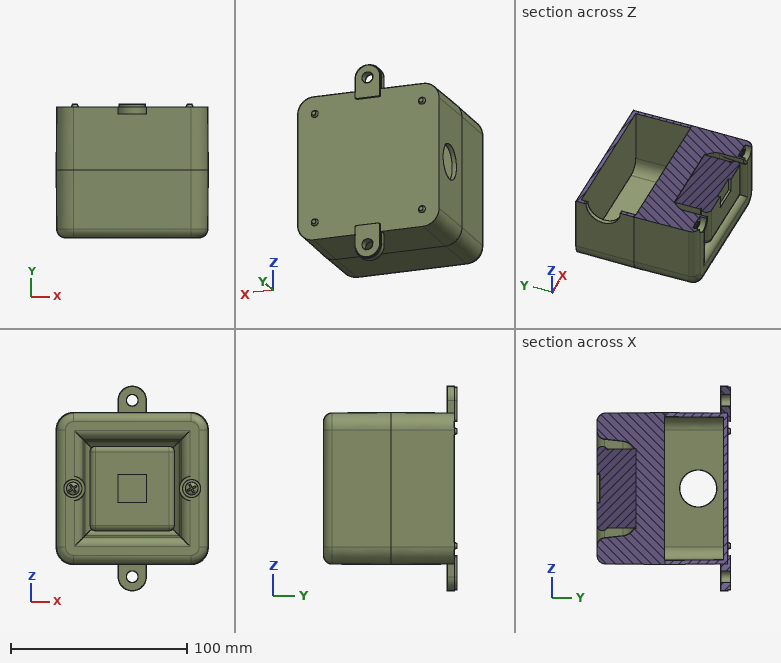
import cadquery as cq
import math


SIDE = 86.5
CORNER_R = 10.0
DRAFT = 0.5
BASE_DEPTH = 35.9
COVER_DEPTH = 38.5
FRONT_Y = -COVER_DEPTH
FRONT_EDGE_R = 5.0
BASE_WALL = 2.5

ENTRY_D = 20.9
ENTRY_Y = 19.1

STANDOFF = 1.5
FOOT_OFFSET = 32.5
FOOT_ROOT_R = 2.1
FOOT_TIP_R = 1.3

RECESS_HALF = 32.9
RECESS_LIP_R = 5.0
WALL_DEPTH = 10.5
WALL_INSET = 1.2
WALL_LEAN = math.atan2(WALL_INSET, WALL_DEPTH)
FLOOR_R = 8.0
FLOOR_DEPTH = (RECESS_LIP_R + FLOOR_R) * (1 - math.sin(WALL_LEAN)) + WALL_DEPTH

SCREW_X = 33.7
BOSS_R = 7.0
SCREW_HOLE_R = 5.1
SCREW_SEAT_DEPTH = 4.0
HEAD_R = 3.6
HEAD_RIM = 0.5
HEAD_DOME = 1.3
CROSS_LENGTH = 5.1
CROSS_WIDTH = 0.9
CROSS_DEPTH = 1.2
LEFT_CROSS_ANGLE = 35.0
RIGHT_CROSS_ANGLE = 27.0

PLATE_SIDE = 48.0
PLATE_EDGE_R = 3.1
PLATE_THICK = 2 * PLATE_EDGE_R
PLATE_POCKET_SIDE = 16.0
PLATE_POCKET_DEPTH = 1.5
HUB_R = 22.5

OVERALL_HEIGHT = 116.2
LUG_WIDTH = 16.0
LUG_THICK = 4.2
LUG_HOLE_D = 6.5
LUG_HOLE_Z = OVERALL_HEIGHT / 2 - LUG_WIDTH / 2
PAD_INSET = 0.52
PAD_INNER_Z = 38.1
PAD_CORNER_R = 0.9


def front_plane(y):
    """Workplane at the given Y that faces -Y, with local x = X and local y = Z."""
    return cq.Workplane("XZ", origin=(0, y, 0))


def back_plane(y):
    """Workplane at the given Y that faces +Y, with local x = Z and local y = X."""
    return cq.Workplane("ZX", origin=(0, y, 0))


def drafted_block(plane, side, corner_r, depth):
    """Square block with rounded corners that narrows along its depth."""
    outline = plane.sketch().rect(side, side).vertices().fillet(corner_r).finalize()
    return outline.extrude(depth, taper=DRAFT)


def make_feet():
    spots = [(z, x) for z in (-FOOT_OFFSET, FOOT_OFFSET) for x in (-FOOT_OFFSET, FOOT_OFFSET)]
    lean = math.degrees(math.atan((FOOT_ROOT_R - FOOT_TIP_R) / STANDOFF))
    return back_plane(BASE_DEPTH).pushPoints(spots).circle(FOOT_ROOT_R).extrude(STANDOFF, taper=lean)


def make_cable_entry():
    plane = cq.Workplane("YZ", origin=(-SIDE / 2, 0, 0)).center(ENTRY_Y, 0)
    return plane.circle(ENTRY_D / 2).extrude(SIDE / 2)


def make_base():
    """Drafted box that is open towards the cover, with a back wall and four feet."""
    block = drafted_block(back_plane(0), SIDE, CORNER_R, BASE_DEPTH)
    cavity_side = SIDE - 2 * BASE_WALL
    cavity = drafted_block(back_plane(0), cavity_side, CORNER_R - BASE_WALL, BASE_DEPTH - BASE_WALL)
    return block.cut(cavity).cut(make_cable_entry()).union(make_feet())


def make_hub():
    """Round hub from the back of the plate to the recess floor."""
    return back_plane(FRONT_Y + PLATE_THICK).circle(HUB_R).extrude(FLOOR_DEPTH - PLATE_THICK)


def arc_point(center, radius, angle):
    return (center[0] + radius * math.cos(angle), center[1] + radius * math.sin(angle))


def recess_profile(plane):
    """Cross-section of the recess: lip arc, leaning wall and floor arc, tangent to each other."""
    floor_y = FRONT_Y + FLOOR_DEPTH
    lip_center = (RECESS_HALF, FRONT_Y + RECESS_LIP_R)
    lip_end = arc_point(lip_center, -RECESS_LIP_R, WALL_LEAN)
    floor_start = (lip_end[0] - WALL_INSET, lip_end[1] + WALL_DEPTH)
    floor_center = (floor_start[0] - FLOOR_R * math.cos(WALL_LEAN), floor_y - FLOOR_R)
    half_arc = (WALL_LEAN + math.pi / 2) / 2
    return (
        plane.moveTo(0, FRONT_Y)
        .lineTo(RECESS_HALF, FRONT_Y)
        .threePointArc(arc_point(lip_center, -RECESS_LIP_R, half_arc), lip_end)
        .lineTo(*floor_start)
        .threePointArc(arc_point(floor_center, FLOOR_R, half_arc), (floor_center[0], floor_y))
        .lineTo(0, floor_y)
        .mirrorY()
    )


def make_recess():
    """Square recess with mitred corners: the same section run along X and along Z."""
    along_z = recess_profile(cq.Workplane("XY")).extrude(RECESS_HALF, both=True)
    along_x = along_z.rotate((0, 0, 0), (0, 1, 0), 90)
    return along_z.intersect(along_x)


def make_cover():
    screw_spots = [(-SCREW_X, 0), (SCREW_X, 0)]
    floor = front_plane(FRONT_Y + FLOOR_DEPTH)
    bosses = floor.pushPoints(screw_spots).circle(BOSS_R).extrude(FLOOR_DEPTH)
    seat = front_plane(FRONT_Y + SCREW_SEAT_DEPTH)
    screw_holes = seat.pushPoints(screw_spots).circle(SCREW_HOLE_R).extrude(SCREW_SEAT_DEPTH)
    block = drafted_block(front_plane(0), SIDE, CORNER_R, COVER_DEPTH)
    block = block.faces("<Y").edges().fillet(FRONT_EDGE_R)
    block = block.cut(make_recess().cut(bosses)).cut(screw_holes)
    return block.cut(make_hub())


def make_screw(x, cross_angle):
    """Domed screw head with a cross slot, seated in its hole in the cover."""
    dome_height = HEAD_RIM + HEAD_DOME
    sphere_r = (HEAD_R**2 + HEAD_DOME**2) / (2 * HEAD_DOME)
    half_way = HEAD_R / 2
    arc_mid = (half_way, dome_height - sphere_r + math.sqrt(sphere_r**2 - half_way**2))
    head = (
        cq.Workplane("XY")
        .lineTo(HEAD_R, 0)
        .lineTo(HEAD_R, HEAD_RIM)
        .threePointArc(arc_mid, (0, dome_height))
        .close()
        .revolve(360, (0, 0, 0), (0, 1, 0))
    )
    dome_top = cq.Workplane("XZ", origin=(0, dome_height, 0))
    cross = dome_top.rect(CROSS_LENGTH, CROSS_WIDTH).extrude(CROSS_DEPTH)
    cross = cross.union(dome_top.rect(CROSS_WIDTH, CROSS_LENGTH).extrude(CROSS_DEPTH))
    head = head.cut(cross).rotate((0, 0, 0), (0, 1, 0), cross_angle)
    return head.rotate((0, 0, 0), (0, 0, 1), 180).translate((x, FRONT_Y + SCREW_SEAT_DEPTH, 0))


def make_rounded_plate():
    """Square plate whose rim is a half-round bar on each side with a ball at each corner."""
    flat_side = PLATE_SIDE - 2 * PLATE_EDGE_R
    rim_y = FRONT_Y + PLATE_EDGE_R
    plate = front_plane(FRONT_Y + PLATE_THICK).rect(flat_side, flat_side).extrude(PLATE_THICK)
    bar = cq.Workplane("YZ", origin=(-flat_side / 2, rim_y, flat_side / 2))
    bar = bar.circle(PLATE_EDGE_R).extrude(flat_side)
    ball = cq.Workplane("XY", origin=(flat_side / 2, rim_y, flat_side / 2))
    ball = ball.sphere(PLATE_EDGE_R, direct=(0, 1, 0))
    for turn in (0, 90, 180, 270):
        plate = plate.union(bar.rotate((0, 0, 0), (0, 1, 0), turn))
        plate = plate.union(ball.rotate((0, 0, 0), (0, 1, 0), turn))
    return plate


def make_sounder_plate():
    pocket = front_plane(FRONT_Y + PLATE_POCKET_DEPTH).rect(PLATE_POCKET_SIDE, PLATE_POCKET_SIDE)
    return make_rounded_plate().cut(pocket.extrude(PLATE_POCKET_DEPTH)).union(make_hub())


def round_ended_strip(plane, inner_z, end_r):
    """Strip outline from inner_z up to a half-round end centred on the lug hole."""
    return (
        plane.moveTo(-end_r, inner_z)
        .lineTo(-end_r, LUG_HOLE_Z)
        .threePointArc((0, LUG_HOLE_Z + end_r), (end_r, LUG_HOLE_Z))
        .lineTo(end_r, inner_z)
        .close()
    )


def make_lug(base):
    """Upper lug: a tab standing on the base wall and a pad that reaches behind the base."""
    end_r = LUG_WIDTH / 2
    within_wall_z = SIDE / 2 - BASE_WALL / 2
    tab = round_ended_strip(front_plane(BASE_DEPTH), within_wall_z, end_r).extrude(LUG_THICK)
    pad = round_ended_strip(front_plane(BASE_DEPTH + STANDOFF), PAD_INNER_Z, end_r - PAD_INSET)
    pad = pad.extrude(STANDOFF).edges("|Y and <Z").fillet(PAD_CORNER_R)
    hole = front_plane(BASE_DEPTH + STANDOFF).center(0, LUG_HOLE_Z).circle(LUG_HOLE_D / 2)
    return tab.cut(base).union(pad).cut(hole.extrude(STANDOFF + LUG_THICK))


base = make_base()
cover = make_cover()
sounder_plate = make_sounder_plate()
screws = [make_screw(-SCREW_X, LEFT_CROSS_ANGLE), make_screw(SCREW_X, RIGHT_CROSS_ANGLE)]
lugs = [make_lug(base).rotate((0, 0, 0), (0, 1, 0), turn) for turn in (0, 180)]

result = cq.Compound.makeCompound(
    [base.val(), cover.val(), sounder_plate.val()]
    + [screw.val() for screw in screws]
    + [lug.val() for lug in lugs]
)